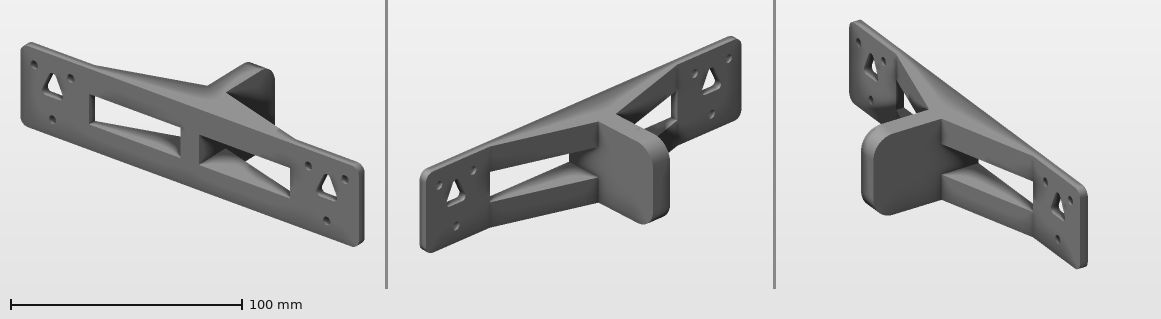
import cadquery as cq

plate_length = 185.0
plate_height = 40.0
plate_thickness = 4.0
plate_corner_radius = 4.0

total_depth = 54.0
fin_thickness = 10.0
fin_corner_radius = 10.0

web_depth = 19.0
window_length = 50.0
window_height = 15.0
web_end = fin_thickness / 2 + window_length

pattern_offset = 75.0
hole_diameter = 4.0
hole_half_spacing = 10.0
hole_height = 11.8

keyhole_corner_radius = 2.0
keyhole_half_base = 3.7
keyhole_base_height = 1.1
keyhole_top_height = 9.0


def cut_through(profile):
    """Extrude an XZ profile through the full depth of the part."""
    return profile.extrude(-total_depth)


def make_plate():
    plate = cq.Workplane("XZ").rect(plate_length, plate_height).extrude(-plate_thickness)
    return plate.edges("|Y").fillet(plate_corner_radius)


def make_fin():
    fin = cq.Workplane("XZ").rect(fin_thickness, plate_height).extrude(-total_depth)
    return fin.faces(">Y").edges("|X").fillet(fin_corner_radius)


def make_webs():
    outline = [
        (-web_end, 0),
        (web_end, 0),
        (web_end, plate_thickness),
        (fin_thickness / 2, web_depth),
        (-fin_thickness / 2, web_depth),
        (-web_end, plate_thickness),
    ]
    return cq.Workplane("XY").polyline(outline).close().extrude(plate_height / 2, both=True)


def make_windows():
    window_offset = (fin_thickness + window_length) / 2
    centres = [(-window_offset, 0), (window_offset, 0)]
    return cut_through(cq.Workplane("XZ").pushPoints(centres).rect(window_length, window_height))


def make_screw_holes(centre_x):
    centres = [
        (centre_x - hole_half_spacing, hole_height),
        (centre_x + hole_half_spacing, hole_height),
        (centre_x, -hole_height),
    ]
    return cut_through(cq.Workplane("XZ").pushPoints(centres).circle(hole_diameter / 2))


def make_keyhole(centre_x):
    corner_centres = [
        (centre_x - keyhole_half_base, keyhole_base_height),
        (centre_x + keyhole_half_base, keyhole_base_height),
        (centre_x, keyhole_top_height),
    ]
    triangle = cq.Workplane("XZ").polyline(corner_centres).close()
    return cut_through(triangle.offset2D(keyhole_corner_radius))


result = make_plate().union(make_webs()).union(make_fin()).cut(make_windows())
for pattern_x in (-pattern_offset, pattern_offset):
    result = result.cut(make_screw_holes(pattern_x)).cut(make_keyhole(pattern_x))